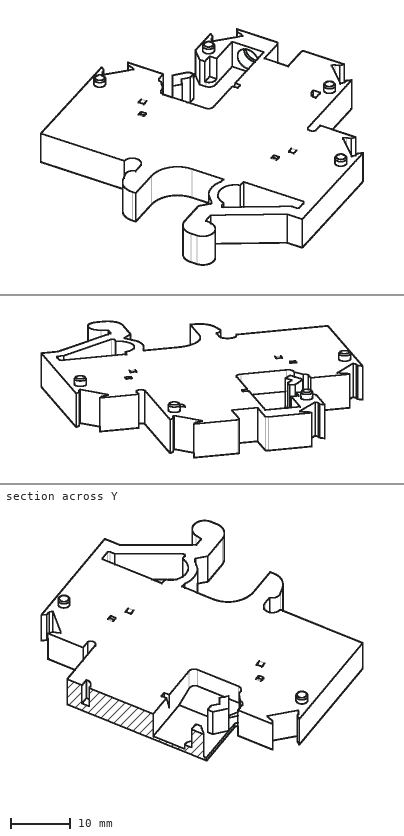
import cadquery as cq
import math

body_thickness = 6.0
overall_height = 7.25
base_half_width = 25.0
tower_half_width = 13.5
tower_top = 41.5
foot_bottom = -12.5
step_x = base_half_width - tower_half_width
step_y = 17.0
shoulder_top = tower_top - step_y

seat_profile = [
    (10.3, 0.0),
    (9.8, 0.7),
    (8.95, 0.95),
    (8.5, 1.25),
    (12.3, 5.05),
    (12.7, 4.5),
    (12.75, 3.85),
    (tower_half_width, 3.25),
]

notch_half_width = 2.25
notch_floor = 36.5
notch_corner = 0.4
slot_width = 1.5
slot_shoulder = 22.95
slot_bottom = 22.4
slot_outer = tower_half_width + slot_width
slot_middle = tower_half_width + slot_width / 2

strut_angle = math.radians(30)
relief_radius = 1.5
hook_left = -6.0
hook_right = -3.0
hook_bottom = -7.0
hook_neck_y = -1.6
hook_nose_mid = (-6.9, -2.2)
hook_nose_end = (-7.1, -3.2)
hook_back_start = (-6.65, -4.8)
hook_back_mid = (-5.55, -6.4)
hook_back_end_x = -3.7
rail_seat = 3.45
rail_corner_radius = 5.0
spring_center = (11.93, 0.5)
spring_inner_radius = 2.92
spring_outer_radius = 4.5
spring_root_x = 8.05
spring_root_y = 2.65
spring_end_y = -1.55
spring_inner_end_y = 3.35
waist_x = 9.45
waist_top = -3.2
waist_bottom = -3.55
latch_top = -5.05
latch_left = 7.95
latch_left_radius = 2.6
latch_right = 11.0
latch_tip_radius = 2.1
latch_tip_x = 11.69
latch_tip_end = math.radians(75)
latch_neck_y = -8.1
strut_foot_y = -6.4
window_left = 11.36
window_right = 23.0
window_top = 4.45
window_step = 2.3
window_bottom = -3.67
window_corner = 0.3

pin_x = 11.55
pin_y = 34.0
pin_radius = 1.0
pin_chamfer = (0.3, 0.22)
square_side = 1.0
upper_square = (14.35, 16.05)
lower_square = (12.7, 12.95)
recess_inner = 9.25
recess_outer = 10.6
recess_top = 32.6
recess_bottom = 30.95
recess_floor = 1.75

pocket_floor = 0.8
pocket_right = -3.2
pocket_left = -recess_inner
pocket_top = 38.0
pocket_bottom = 19.5
pocket_corner = 1.0
finger_corner = 1.2
finger_tip_x = -11.6
mouth_top = 32.9
ramp_start = 23.75
ramp_angle = math.radians(18)
channel_corner = (-13.15, 20.9)
ramp_corner_x = -10.57
block_top = 27.0
block_outline = [
    (finger_tip_x, block_top),
    (ramp_corner_x, block_top),
    (ramp_corner_x, 25.85),
    (-11.65, 24.7),
    (-10.85, 23.5),
    (-12.0, 22.3),
    (-tower_half_width, 24.9),
]
screw_hole_diameter = 4.0
screw_hole_depth = 2.5
screw_hole_chamfer = (0.3, 0.2)
groove_width = 1.0
groove_top = 28.0
groove_bottom = 27.1
groove_depth = 3.0


def prism(points, bottom, top):
    """Straight-sided prism between two heights."""
    return cq.Workplane("XY").workplane(offset=bottom).polyline(points).close().extrude(top - bottom)


def on_circle(center, radius, y, side):
    """Point of a circle at height y, on its left (-1) or right (+1) half."""
    reach = math.sqrt(radius**2 - (y - center[1]) ** 2)
    return (center[0] + side * reach, y)


def upper_body():
    """Stepped right half of the plate above the base edge, mirrored to both sides."""

    def marker_seat(outline, dx, dy):
        """Undercut lip, sloping flank and pointed outer ear."""
        for x, drop in seat_profile:
            outline = outline.lineTo(x + dx, tower_top - drop + dy)
        return outline

    outline = (
        cq.Workplane("XY")
        .moveTo(0, 0)
        .lineTo(0, notch_floor)
        .lineTo(notch_half_width, notch_floor)
        .lineTo(notch_half_width, tower_top - notch_corner)
        .radiusArc((notch_half_width + notch_corner, tower_top), notch_corner)
    )
    outline = (
        marker_seat(outline, 0, 0)
        .lineTo(tower_half_width, slot_shoulder)
        .threePointArc((slot_middle, slot_bottom), (slot_outer, slot_shoulder))
        .lineTo(slot_outer, shoulder_top)
    )
    half = marker_seat(outline, step_x, -step_y).lineTo(base_half_width, 0).close().extrude(body_thickness)
    return half.union(half.mirror("YZ"))


def rail_foot():
    """Fixed hook, spring web and latch that grip the mounting rail, with the strut to the plate."""
    overlap = window_top
    relief_center_x = hook_left - relief_radius
    strut_end_x = latch_right - strut_foot_y / math.tan(strut_angle)
    rail_flat_x = hook_right + rail_corner_radius
    rail_arc_y = rail_seat - rail_corner_radius
    rail_arc_mid = (
        rail_flat_x - rail_corner_radius * math.sqrt(0.5),
        rail_arc_y + rail_corner_radius * math.sqrt(0.5),
    )
    spring_start = on_circle(spring_center, spring_outer_radius, spring_root_y, -1)
    spring_end = on_circle(spring_center, spring_outer_radius, spring_end_y, -1)
    tip_y = foot_bottom + latch_tip_radius
    latch_bottom_x = latch_left + latch_left_radius
    tip_start = (
        latch_tip_x + latch_tip_radius * math.cos(latch_tip_end),
        tip_y + latch_tip_radius * math.sin(latch_tip_end),
    )
    return (
        cq.Workplane("XY")
        .moveTo(relief_center_x - relief_radius, overlap)
        .lineTo(relief_center_x - relief_radius, 0)
        .threePointArc((relief_center_x, relief_radius), (hook_left, 0))
        .lineTo(hook_left, hook_neck_y)
        .threePointArc(hook_nose_mid, hook_nose_end)
        .lineTo(*hook_back_start)
        .threePointArc(hook_back_mid, (hook_back_end_x, hook_bottom))
        .lineTo(hook_right, hook_bottom)
        .lineTo(hook_right, rail_arc_y)
        .threePointArc(rail_arc_mid, (rail_flat_x, rail_seat))
        .lineTo(spring_root_x, rail_seat)
        .lineTo(*spring_start)
        .threePointArc((spring_center[0] - spring_outer_radius, spring_center[1]), spring_end)
        .lineTo(waist_x, waist_top)
        .lineTo(waist_x, waist_bottom)
        .lineTo(latch_left, latch_top)
        .lineTo(latch_left, foot_bottom + latch_left_radius)
        .radiusArc((latch_bottom_x, foot_bottom), -latch_left_radius)
        .lineTo(latch_tip_x, foot_bottom)
        .threePointArc((latch_tip_x + latch_tip_radius, tip_y), tip_start)
        .lineTo(latch_right, latch_neck_y)
        .lineTo(latch_right, strut_foot_y)
        .lineTo(strut_end_x, 0)
        .lineTo(strut_end_x, overlap)
        .close()
        .extrude(body_thickness)
    )


def rail_clearance():
    """Strip along the base edge that is cleared before the foot outline fills part of it again."""
    relief_left = hook_left - 2 * relief_radius
    corners = [(relief_left, 0), (spring_root_x, 0), (spring_root_x, rail_seat), (relief_left, rail_seat)]
    return prism(corners, 0, body_thickness)


def strut_window():
    """Through opening bounded by the spring web, the plate and the strut."""
    spring_top = on_circle(spring_center, spring_inner_radius, spring_inner_end_y, -1)
    spring_low = (spring_top[0], 2 * spring_center[1] - spring_top[1])
    step_start_x = window_left + (window_step - window_bottom) / math.tan(strut_angle)
    window = (
        cq.Workplane("XY")
        .moveTo(window_left, window_top)
        .lineTo(window_right, window_top)
        .lineTo(window_right, window_step)
        .lineTo(step_start_x, window_step)
        .lineTo(window_left, window_bottom)
        .lineTo(*spring_low)
        .threePointArc((spring_center[0] - spring_inner_radius, spring_center[1]), spring_top)
        .close()
        .extrude(body_thickness)
    )
    right_corners = window.edges("|Z").edges(">X")
    lower_corner = window.edges("|Z").edges("<Y")
    return window.newObject(right_corners.vals() + lower_corner.vals()).fillet(window_corner)


def pocket():
    """Terminal pocket with a sloping end, open to the tower side and the slot."""
    mouth_x = -slot_middle
    outline = [
        (mouth_x, slot_bottom),
        channel_corner,
        (channel_corner[0], pocket_bottom),
        (pocket_right, pocket_bottom),
        (pocket_right, pocket_top),
        (pocket_left, pocket_top),
        (pocket_left, recess_bottom),
        (finger_tip_x, recess_bottom),
        (-tower_half_width, mouth_top),
        (mouth_x, mouth_top),
    ]
    cavity = prism(outline, pocket_floor, body_thickness)
    end_corners = cavity.edges("|Z").edges("<Y")
    cavity = cavity.newObject(end_corners.vals()).fillet(pocket_corner)
    finger_edge = cq.selectors.NearestToPointSelector((pocket_left, recess_bottom, body_thickness / 2))
    cavity = cavity.edges("|Z").edges(finger_edge).fillet(finger_corner)
    return cavity.cut(pocket_ramp()).cut(contact_block())


def pocket_ramp():
    """Ramp rising toward the end of the pocket, cut off obliquely beside the side channel."""
    length = ramp_start - pocket_bottom
    rise = length * math.tan(ramp_angle)
    wedge = (
        cq.Workplane("YZ", origin=(channel_corner[0], 0, 0))
        .polyline([
            (ramp_start, pocket_floor),
            (pocket_bottom, pocket_floor),
            (pocket_bottom, pocket_floor + rise),
        ])
        .close()
        .extrude(pocket_right - channel_corner[0])
    )
    oblique_end = prism(
        [channel_corner, (channel_corner[0], ramp_start), (ramp_corner_x, ramp_start)], 0, body_thickness
    )
    return wedge.cut(oblique_end)


def contact_block():
    """Angled block left standing at the pocket mouth."""
    return prism(block_outline, pocket_floor, body_thickness)


def screw_hole():
    """Blind bore in the end wall of the pocket, narrowed at its bottom."""
    center_x = (pocket_left + pocket_right) / 2
    center_z = (pocket_floor + body_thickness) / 2
    bore = cq.Workplane("XZ", origin=(center_x, pocket_top, center_z)).circle(screw_hole_diameter / 2)
    return bore.extrude(-screw_hole_depth).faces(">Y").chamfer(*screw_hole_chamfer)


def wedge_groove():
    """Small groove in the pocket side wall that runs out downward."""
    return (
        cq.Workplane("YZ", origin=(pocket_right, 0, 0))
        .polyline([
            (groove_top, body_thickness),
            (groove_bottom, body_thickness),
            (groove_bottom, body_thickness - groove_depth),
        ])
        .close()
        .extrude(groove_width)
    )


def corner_recesses():
    """Rounded recess beside each tower pin; the left one opens into the pocket."""
    recess = prism(
        [
            (recess_inner, recess_bottom),
            (recess_outer, recess_bottom),
            (recess_outer, recess_top),
            (recess_inner, recess_top),
        ],
        recess_floor,
        body_thickness,
    )
    recess = recess.edges("|Z").edges("<X").edges("<Y").fillet(finger_corner)
    return recess.union(recess.mirror("YZ"))


def square_recesses():
    """Small square recesses whose floors are quarter cylinders, two on each side."""
    recesses = cq.Workplane("XY")
    for (x, y), fall in ((upper_square, -1), (lower_square, 1)):
        crest = y - fall * square_side / 2
        deep_end = y + fall * square_side / 2
        bow = square_side * math.sqrt(0.5)
        for side in (-1, 1):
            recesses = recesses.union(
                cq.Workplane("YZ", origin=(side * x - square_side / 2, 0, 0))
                .moveTo(crest, body_thickness)
                .threePointArc(
                    (crest + fall * bow, body_thickness - square_side + bow),
                    (deep_end, body_thickness - square_side),
                )
                .lineTo(deep_end, body_thickness)
                .close()
                .extrude(square_side)
            )
    return recesses


def pins():
    """Chamfered locating pins on the tower and on the shoulders."""
    centers = []
    for side in (-1, 1):
        centers.append((side * pin_x, pin_y))
        centers.append((side * (pin_x + step_x), pin_y - step_y))
    return (
        cq.Workplane("XY")
        .workplane(offset=body_thickness)
        .pushPoints(centers)
        .circle(pin_radius)
        .extrude(overall_height - body_thickness)
        .faces(">Z")
        .chamfer(*pin_chamfer)
    )


result = (
    upper_body()
    .cut(rail_clearance())
    .union(rail_foot())
    .cut(strut_window())
    .cut(pocket())
    .cut(screw_hole())
    .cut(wedge_groove())
    .cut(corner_recesses())
    .cut(square_recesses())
    .union(pins())
)